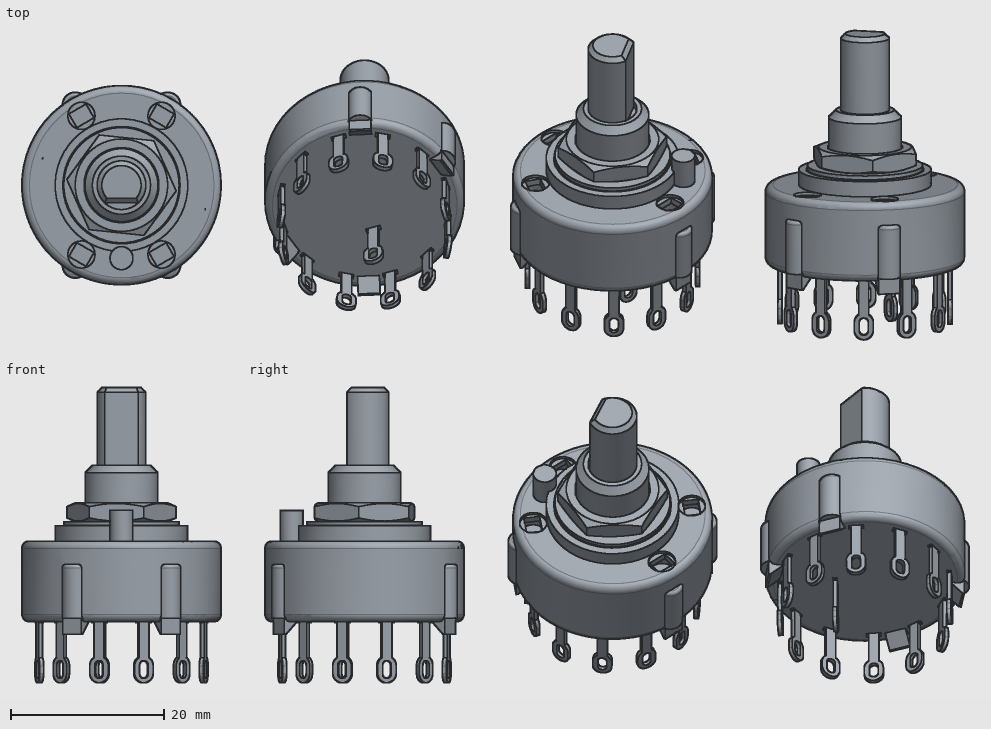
import cadquery as cq
import math

body_dia = 26.0
body_bottom_z = 7.97
body_top_z = 18.48
body_edge_round = 0.95

collar_dia = 17.3
collar_top_z = 20.5
washer_seat_dia = 15.3
washer_seat_depth = 0.4
washer_dia = 15.0
washer_top_z = 21.02
washer_thickness = 0.5
nut_across_corners = 14.32
nut_turn = -6.0
nut_top_z = 23.45
nut_chamfer_dia = 12.05
nut_chamfer_angle = 23.0
nut_bore_dia = 9.78
bushing_dia = 9.5
bushing_top_z = 28.37
bushing_chamfer = 0.95

shaft_dia = 6.35
shaft_top_z = 38.5
shaft_flat_offset = 2.3
shaft_flat_sink = 0.77
shaft_chamfer = 0.6

pin_dia = 3.0
pin_offset = 9.5
pin_top_z = 22.5

latch_angles = [60, 120, 240, 300]
window_radius = 10.45
window_dia = 3.55
window_depth = 0.4
slot_width = 2.58
slot_length = 2.08
slot_depth = 0.9
pocket_depth = 1.15
rib_radius = 12.0
rib_dia = 3.43
rib_bottom_z = 8.45
rib_top_z = 15.48
rib_round = 0.45
leg_outer_radius = 12.9
leg_width = 2.85
leg_depth = 2.08
leg_bottom_z = 6.3
leg_tip_depth = 0.27

terminal_count = 12
terminal_first_angle = 15.0
terminal_radius = 11.1
common_radius = 3.85
common_angle = 225.0
terminal_thickness = 0.55
stem_width = 1.35
eye_width = 2.5
eye_height = 3.5
hole_width = 1.15
hole_height = 2.27
shoulder_width = 1.92
shoulder_height = 0.15

embed = 0.4


def cylinder(dia, bottom_z, top_z):
    return cq.Workplane("XY").workplane(offset=bottom_z).circle(dia / 2).extrude(top_z - bottom_z)


def at_polar(solid, radius, angle):
    """Move a solid built at the origin out along +X, then turn it about Z."""
    return solid.translate((radius, 0, 0)).rotate((0, 0, 0), (0, 0, 1), angle)


def make_housing():
    body = cylinder(body_dia, body_bottom_z, body_top_z).edges().fillet(body_edge_round)
    collar = cylinder(collar_dia, body_top_z - embed, collar_top_z)
    seat = cylinder(washer_seat_dia, collar_top_z - washer_seat_depth, collar_top_z)
    return body.union(collar).cut(seat)


def make_nut():
    hexagon = (
        cq.Workplane("XY").workplane(offset=washer_top_z)
        .polygon(6, nut_across_corners)
        .extrude(nut_top_z - washer_top_z)
        .rotate((0, 0, 0), (0, 0, 1), nut_turn)
    )
    corner_radius = nut_across_corners / 2
    drop = (corner_radius - nut_chamfer_dia / 2) * math.tan(math.radians(nut_chamfer_angle))
    chamfered_blank = (
        cq.Workplane("XZ")
        .moveTo(0, washer_top_z)
        .lineTo(nut_chamfer_dia / 2, washer_top_z)
        .lineTo(corner_radius, washer_top_z + drop)
        .lineTo(corner_radius, nut_top_z - drop)
        .lineTo(nut_chamfer_dia / 2, nut_top_z)
        .lineTo(0, nut_top_z)
        .close()
        .revolve(360, (0, 0, 0), (0, 1, 0))
    )
    bore = cylinder(nut_bore_dia, washer_top_z, nut_top_z)
    return hexagon.intersect(chamfered_blank).cut(bore)


def make_bushing():
    bushing = cylinder(bushing_dia, body_top_z, bushing_top_z).faces(">Z").chamfer(bushing_chamfer)
    bore_bottom_z = bushing_top_z - shaft_flat_sink
    return bushing.cut(cylinder(shaft_dia, bore_bottom_z, bushing_top_z))


def make_shaft():
    bottom_z = bushing_top_z - shaft_flat_sink
    keep_box = (
        cq.Workplane("XY").workplane(offset=bottom_z)
        .rect(shaft_dia, shaft_dia)
        .extrude(shaft_top_z - bottom_z)
        .translate((0, shaft_dia / 2 - shaft_flat_offset, 0))
    )
    d_shaft = cylinder(shaft_dia, bottom_z, shaft_top_z).intersect(keep_box)
    return d_shaft.faces(">Z").chamfer(shaft_chamfer)


def make_pin():
    return cylinder(pin_dia, body_top_z - embed, pin_top_z).translate((0, -pin_offset, 0))


def make_latch_opening():
    """Round window, narrower slot through the cover and a round pocket under it."""
    slot_top_z = body_top_z - window_depth
    pocket_top_z = slot_top_z - slot_depth
    window = cylinder(window_dia, slot_top_z, body_top_z)
    slot = (
        cq.Workplane("XY").workplane(offset=pocket_top_z)
        .rect(slot_length, slot_width)
        .extrude(slot_depth)
    )
    pocket = cylinder(window_dia, pocket_top_z - pocket_depth, pocket_top_z)
    return window.union(slot).union(pocket)


def make_rib():
    return cylinder(rib_dia, rib_bottom_z, rib_top_z).faces(">Z").edges().fillet(rib_round)


def make_leg():
    """Leg with its outer face at X = 0 and its inner side sloped at 45 degrees."""
    top_z = body_bottom_z + body_edge_round
    slope_top_z = leg_bottom_z + leg_depth - leg_tip_depth
    return (
        cq.Workplane("XZ")
        .moveTo(0, leg_bottom_z)
        .lineTo(-leg_tip_depth, leg_bottom_z)
        .lineTo(-leg_depth, slope_top_z)
        .lineTo(-leg_depth, top_z)
        .lineTo(0, top_z)
        .close()
        .extrude(leg_width / 2, both=True)
    )


def terminal_bar(width, bottom_z, top_z):
    return (
        cq.Workplane("XY").workplane(offset=bottom_z)
        .rect(terminal_thickness, width)
        .extrude(top_z - bottom_z)
    )


def terminal_slot(height, width):
    """Upright plate with round ends, as thick as the terminal, centered on the solder eye."""
    return (
        cq.Workplane("YZ")
        .center(0, eye_height / 2)
        .slot2D(height, width, 90)
        .extrude(terminal_thickness / 2, both=True)
    )


def make_terminal():
    """Flat terminal facing X, with its solder eye standing on Z = 0."""
    top_z = body_bottom_z + embed
    stem = terminal_bar(stem_width, eye_height / 2, top_z)
    shoulder = terminal_bar(shoulder_width, body_bottom_z - shoulder_height, top_z)
    eye = terminal_slot(eye_height, eye_width)
    hole = terminal_slot(hole_height, hole_width)
    return stem.union(shoulder).union(eye).cut(hole)


result = make_housing()

latch_opening = make_latch_opening()
rib = make_rib()
leg = make_leg()
for angle in latch_angles:
    result = result.union(at_polar(rib, rib_radius, angle))
    result = result.union(at_polar(leg, leg_outer_radius, angle))
    result = result.cut(at_polar(latch_opening, window_radius, angle))

terminal = make_terminal()
for i in range(terminal_count):
    angle = terminal_first_angle + i * 360 / terminal_count
    result = result.union(at_polar(terminal, terminal_radius, angle))
result = result.union(at_polar(terminal, common_radius, common_angle))

washer = cylinder(washer_dia, washer_top_z - washer_thickness, washer_top_z)
for part in (washer, make_nut(), make_bushing(), make_shaft(), make_pin()):
    result = result.union(part)